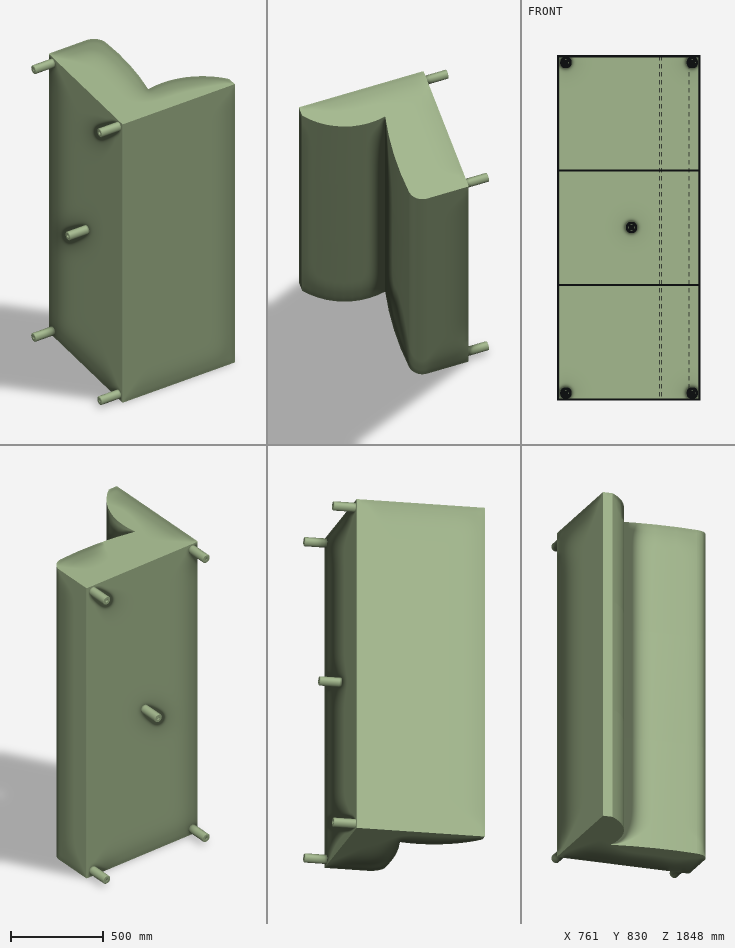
import cadquery as cq

depth = 761.0
total_length = 1848.0
total_height = 830.0

seat_count = 3
seat_length = total_length / seat_count
leg_height = 122.0
body_height = total_height - leg_height
front_height = 309.0
crown_x = 231.0
crown_height = 322.0
crease_x = 558.0
crease_height = 286.0
backrest_mid_x = 615.0
backrest_mid_height = 610.0
backrest_top_thickness = 55.0
front_radius = 80.0
base_edge_radius = 4.6

leg_diameter = 50.0
leg_edge_chamfer = 2.5
recess_diameter = 18.0
recess_depth = 10.0
screw_hole_diameter = 8.0
screw_hole_depth = 37.0
front_leg_inset = 43.0
rear_leg_inset = 39.0
leg_inset_z = 35.0
middle_leg_x = 395.0
middle_leg_z = 925.0


def make_seat(z_start):
    """One seat module: side outline in XY, extruded along Z, with its underside at Y = 0."""
    seat = (
        cq.Workplane("XY", origin=(0, 0, z_start))
        .lineTo(depth, 0)
        .lineTo(depth, body_height)
        .lineTo(depth - backrest_top_thickness, body_height)
        .threePointArc((backrest_mid_x, backrest_mid_height), (crease_x, crease_height))
        .threePointArc((crown_x, crown_height), (0, front_height))
        .close()
        .extrude(seat_length)
    )
    front_edge_middle = (0, front_height, z_start + seat_length / 2)
    front_edge = cq.selectors.NearestToPointSelector(front_edge_middle)
    seat = seat.edges(front_edge).fillet(front_radius)
    return seat.faces("<Y").edges("|Z").fillet(base_edge_radius)


def make_leg(x, z):
    """One round leg hanging from the underside, with a stepped screw hole in its foot."""
    leg = (
        cq.Workplane("XZ", origin=(x, 0, z))
        .circle(leg_diameter / 2)
        .extrude(leg_height)
        .faces("<Y")
        .chamfer(leg_edge_chamfer)
    )
    return (
        leg.faces("<Y")
        .workplane(centerOption="CenterOfBoundBox")
        .cboreHole(screw_hole_diameter, recess_diameter, recess_depth, screw_hole_depth)
    )


seats = [make_seat(index * seat_length) for index in range(seat_count)]

leg_positions = [
    (x, z)
    for x in (front_leg_inset, depth - rear_leg_inset)
    for z in (leg_inset_z, total_length - leg_inset_z)
]
leg_positions.append((middle_leg_x, middle_leg_z))
legs = [make_leg(x, z) for x, z in leg_positions]

result = cq.Compound.makeCompound([body.val() for body in seats + legs])